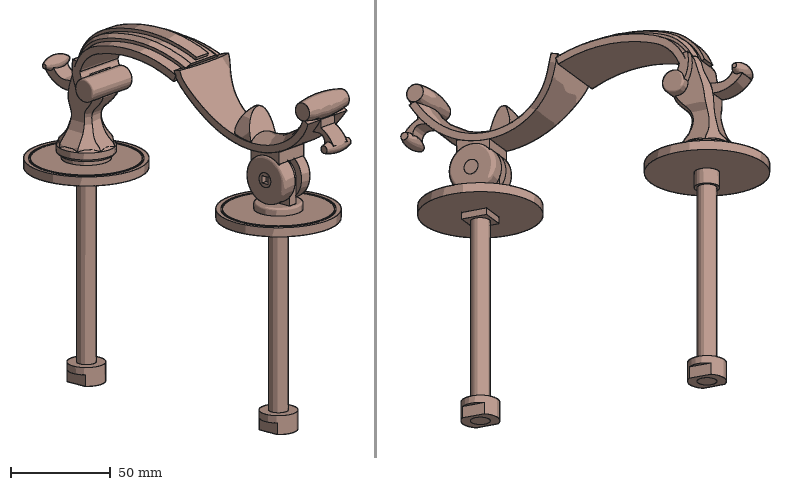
import cadquery as cq
import math


POST_SPACING = 127.0
ROSE_RADIUS = 31.47
ROSE_THICKNESS = 4.8
ROSE_GROOVE_INNER = 28.1
ROSE_GROOVE_WIDTH = 0.8
ROSE_GROOVE_DEPTH = 0.4

ROD_RADIUS = 5.0
FIXED_ROD_BOTTOM = -112.5
HINGED_ROD_BOTTOM = -111.1
ROD_LENGTH = 112.5

NUT_RADIUS = 9.8
NUT_HEIGHT = 10.0
NUT_FLAT_HEIGHT = 6.1
NUT_FLAT_HALF = 7.7

SPIGOT_RADIUS = 6.4
SPIGOT_BOTTOM = -8.1
TANG_SIDE = 14.0
TANG_BOTTOM = -3.5

HINGE_X = POST_SPACING
HINGE_Z = 22.3
KNUCKLE_RADIUS = 13.1
KNUCKLE_HALF = 10.4
KNUCKLE_ROUND = 2.2
TONGUE_HALF = 2.5
TONGUE_RADIUS = 9.4
POST_FOOT_RADIUS = 12.4
POST_FOOT_TOP = 8.7
POST_FOOT_ROUND = 1.2
NECK_HALF_X = 9.3
NECK_HALF_Y = 9.5
NECK_TOP = 38.5
NECK_SHIFT = -0.7
PIN_RADIUS = 3.9
SOCKET_SIDE = 3.8
SOCKET_DEPTH = 3.0

CREST_X, CREST_Z = 44.0, 81.6
CREST_RADIUS = 84.0
SHOULDER_RADIUS = 30.4
SHOULDER_ANGLE = 108.0
STRAP_START_ANGLE = 163.0
STRAP_END_X = 78.0
RIB_START_ANGLE = 159.0
RIB_END_X = 76.8
RIB_HALF = 4.6
RIB_HEIGHT = 1.7
LEDGE_DROP = 3.6
FLANGE_DROP = 5.2
EDGE_DROP = 6.2
STRAP_DEPTH = 10.2
STRAP_HALF_START = 14.6
STRAP_HALF_GROWTH = 4.3
STRAP_GROWTH_POWER = 0.6
CROWN_SHARE = 0.50
LEDGE_SHARE = 0.67

SADDLE_X, SADDLE_Z = 119.0, 82.0
SADDLE_RADIUS = 42.3
SADDLE_EDGE = 3.9
SADDLE_CROWN = 3.2
SADDLE_STATIONS = [(194, 18.7), (206, 16.8), (217, 14.0), (232, 11.5), (250, 10.0), (270, 9.6),
                   (290, 10.0), (307, 11.2), (320, 12.8), (331, 15.0)]

ROLL_X, ROLL_Z = 156.0, 65.5
ROLL_HALF = 15.3
ROLL_RADIUS = 6.4
ROLL_END_RADIUS = 4.7

BASE_RADIUS = 15.1
BASE_NECK_RADIUS = 12.6
BASE_RIM_BOTTOM = 7.2
BASE_RIM_TOP = 13.4
BASE_ROUND = 1.3
COLUMN_SECTIONS = [
    (11.5, -13.6, 13.6, 13.6, 5.6, 8.0),
    (14.2, -13.2, 13.2, 13.2, 5.4, 7.2),
    (18.0, -9.7, 9.4, 10.2, 4.8, 4.0),
    (23.0, -7.7, 7.5, 7.3, 3.8, 2.8),
    (28.0, -6.4, 6.6, 6.6, 3.5, 2.2),
    (32.0, -6.0, 8.0, 7.8, 3.8, 2.2),
    (36.0, -6.0, 12.0, 9.4, 4.5, 2.4),
    (41.0, -5.8, 15.5, 10.2, 5.2, 2.6),
    (46.0, -4.4, 15.0, 10.4, 6.0, 2.4),
    (52.0, -1.9, 9.6, 10.4, 7.4, 2.0),
    (60.0, 1.6, 8.8, 10.4, 8.4, 1.6),
]

SCROLL_X, SCROLL_Z = 11.6, 46.2
SCROLL_RADIUS = 6.2
SCROLL_HALF = 15.2
SCROLL_ROUND = 1.2

HOOK_HALF = 5.3
BULB_HALF = 9.2
LEFT_BULB_X, LEFT_BULB_Z = -19.9, 51.0
LEFT_BULB_RADIUS = 3.9
LEFT_BULB_END_RADIUS = 1.2
RIGHT_BULB_X, RIGHT_BULB_Z = 165.0, 46.0
RIGHT_BULB_RADIUS = 3.57
RIGHT_BULB_END_RADIUS = 2.0
TAB_HALF = 9.4
TAB_FLOOR = 40.0
TAB_TOP = 56.0


def cylinder_z(x, radius, bottom, top):
    return cq.Workplane("XY").workplane(offset=bottom).center(x, 0).circle(radius).extrude(top - bottom)


def cylinder_y(x, z, radius, half):
    return cq.Workplane("XZ").center(x, z).circle(radius).extrude(half, both=True)


def barrel_y(x, z, radius, end_radius, half):
    """A barrel lying along Y, bulging from end_radius to radius."""
    return (
        cq.Workplane("XY")
        .moveTo(0, -half)
        .lineTo(end_radius, -half)
        .threePointArc((radius, 0), (end_radius, half))
        .lineTo(0, half)
        .close()
        .revolve(360, (0, 0), (0, 1))
        .translate((x, 0, z))
    )


def rose(x, hole):
    groove_bottom = ROSE_THICKNESS - ROSE_GROOVE_DEPTH
    groove = cylinder_z(x, ROSE_GROOVE_INNER + ROSE_GROOVE_WIDTH, groove_bottom, ROSE_THICKNESS)
    groove = groove.cut(cylinder_z(x, ROSE_GROOVE_INNER, 0, ROSE_THICKNESS))
    return cylinder_z(x, ROSE_RADIUS, 0, ROSE_THICKNESS).cut(groove).cut(hole)


def rod(x, bottom):
    return cylinder_z(x, ROD_RADIUS, bottom, bottom + ROD_LENGTH)


def nut(x, bottom):
    body = cylinder_z(x, NUT_RADIUS, bottom, bottom + NUT_HEIGHT)
    between_flats = cq.Workplane("XY").box(
        2 * NUT_RADIUS, 2 * NUT_FLAT_HALF, NUT_FLAT_HEIGHT, centered=(True, True, False)
    ).translate((x, 0, bottom))
    upper = cylinder_z(x, NUT_RADIUS, bottom + NUT_FLAT_HEIGHT, bottom + NUT_HEIGHT)
    return body.intersect(between_flats.union(upper)).cut(rod(x, bottom))


def square_tang():
    height = POST_FOOT_TOP - TANG_BOTTOM
    return cq.Workplane("XY").box(TANG_SIDE, TANG_SIDE, height, centered=(True, True, False)).translate(
        (HINGE_X, 0, TANG_BOTTOM)
    )


def hinge_pin():
    pin = cylinder_y(HINGE_X, HINGE_Z, PIN_RADIUS, KNUCKLE_HALF)
    end_face = pin.faces("<Y").workplane(centerOption="CenterOfMass")
    return end_face.rect(SOCKET_SIDE, SOCKET_SIDE).cutBlind(-SOCKET_DEPTH)


def hinge_post():
    foot = cylinder_z(HINGE_X, POST_FOOT_RADIUS, ROSE_THICKNESS, POST_FOOT_TOP)
    foot = foot.faces(">Z").edges().fillet(POST_FOOT_ROUND)
    stem_height = HINGE_Z - POST_FOOT_TOP
    stem = cq.Workplane("XY").box(
        2 * TONGUE_RADIUS, 2 * TONGUE_HALF, stem_height, centered=(True, True, False)
    ).translate((HINGE_X, 0, POST_FOOT_TOP))
    tongue = stem.union(cylinder_y(HINGE_X, HINGE_Z, TONGUE_RADIUS, TONGUE_HALF))
    post = foot.union(square_tang()).union(tongue)
    post = post.cut(cylinder_y(HINGE_X, HINGE_Z, PIN_RADIUS, KNUCKLE_HALF))
    return post.cut(rod(HINGE_X, HINGED_ROD_BOTTOM))


def arc_point(center, radius, angle):
    turn = math.radians(angle)
    return center[0] + radius * math.cos(turn), center[1] + radius * math.sin(turn)


CREST_CENTER = (CREST_X, CREST_Z - CREST_RADIUS)
SHOULDER_CENTER = arc_point(CREST_CENTER, CREST_RADIUS - SHOULDER_RADIUS, SHOULDER_ANGLE)


def crest_angle(x):
    return math.degrees(math.acos((x - CREST_X) / CREST_RADIUS))


def section_plane(center, radius, angle, outward):
    """Plane across an arc: local x is Y, local y points away from the arc centre (outward = 1) or to it."""
    x, z = arc_point(center, radius, angle)
    turn = math.radians(angle)
    tangent = (outward * math.sin(turn), 0, -outward * math.cos(turn))
    return cq.Plane(origin=(x, 0, z), xDir=(0, 1, 0), normal=tangent)


def strap_stations(start_angle, end_x):
    shoulder_steps = 5
    crest_steps = 5
    stations = []
    for i in range(shoulder_steps):
        angle = start_angle + (SHOULDER_ANGLE - start_angle) * i / shoulder_steps
        stations.append((SHOULDER_CENTER, SHOULDER_RADIUS, angle))
    end_angle = crest_angle(end_x)
    for i in range(crest_steps + 1):
        angle = SHOULDER_ANGLE + (end_angle - SHOULDER_ANGLE) * i / crest_steps
        stations.append((CREST_CENTER, CREST_RADIUS, angle))
    return stations


def loft(wires):
    return cq.Workplane(cq.Solid.makeLoft(wires))


def strap_half_width(x):
    return STRAP_HALF_START + STRAP_HALF_GROWTH * (max(x, 0) / STRAP_END_X) ** STRAP_GROWTH_POWER


def strap():
    wires = []
    for center, radius, angle in strap_stations(STRAP_START_ANGLE, STRAP_END_X):
        half = strap_half_width(arc_point(center, radius, angle)[0])
        right = [
            (CROWN_SHARE * half, -RIB_HEIGHT),
            (LEDGE_SHARE * half, -LEDGE_DROP),
            (LEDGE_SHARE * half, -FLANGE_DROP),
            (half, -EDGE_DROP),
            (half, -STRAP_DEPTH),
        ]
        left = [(-y, z) for y, z in reversed(right)]
        plane = section_plane(center, radius, angle, 1)
        wires.append(cq.Workplane(plane).polyline(right + left).close().val())
    return loft(wires)


def rib():
    wires = []
    for center, radius, angle in strap_stations(RIB_START_ANGLE, RIB_END_X):
        plane = section_plane(center, radius, angle, 1)
        section = cq.Workplane(plane).center(0, -STRAP_DEPTH / 4).rect(2 * RIB_HALF, STRAP_DEPTH / 2)
        wires.append(section.val())
    return loft(wires)


def saddle():
    wires = []
    for angle, half in SADDLE_STATIONS:
        plane = section_plane((SADDLE_X, SADDLE_Z), SADDLE_RADIUS, angle, -1)
        section = (
            cq.Workplane(plane)
            .moveTo(-half, -SADDLE_EDGE)
            .lineTo(half, -SADDLE_EDGE)
            .lineTo(half, 0)
            .threePointArc((0, SADDLE_CROWN), (-half, 0))
            .close()
        )
        wires.append(section.val())
    return loft(wires)


def column():
    wires = []
    for z, back, front, half, facet, depth in COLUMN_SECTIONS:
        outline = [
            (back, -facet), (back + depth, -half), (front - depth, -half), (front, -facet),
            (front, facet), (front - depth, half), (back + depth, half), (back, facet),
        ]
        wires.append(cq.Workplane("XY").workplane(offset=z).polyline(outline).close().val())
    base = cylinder_z(0, BASE_RADIUS, BASE_RIM_BOTTOM, BASE_RIM_TOP).edges().chamfer(BASE_ROUND)
    neck = cylinder_z(0, BASE_NECK_RADIUS, ROSE_THICKNESS, BASE_RIM_BOTTOM)
    spigot = cylinder_z(0, SPIGOT_RADIUS, SPIGOT_BOTTOM, BASE_RIM_BOTTOM)
    return loft(wires).union(base).union(neck).union(spigot)


def scroll():
    roll = cylinder_y(SCROLL_X, SCROLL_Z, SCROLL_RADIUS, SCROLL_HALF).edges().fillet(SCROLL_ROUND)
    tail = (
        cq.Workplane("XZ")
        .moveTo(3.6, 61)
        .threePointArc((4.2, 49.5), (9.5, 41))
        .lineTo(SCROLL_X, SCROLL_Z)
        .lineTo(9.3, 52)
        .threePointArc((8.4, 55.5), (9.6, 60))
        .close()
        .extrude(STRAP_HALF_START, both=True)
    )
    return roll.union(tail)


def left_hook():
    arm = (
        cq.Workplane("XZ")
        .moveTo(-3, 45.6)
        .lineTo(-9, 45.2)
        .threePointArc((-13.5, 46.2), (-17, 50))
        .lineTo(-22.5, 48)
        .threePointArc((-17, 42.8), (-9, 40))
        .lineTo(-3, 40)
        .close()
        .extrude(HOOK_HALF, both=True)
    )
    bulb = barrel_y(LEFT_BULB_X, LEFT_BULB_Z, LEFT_BULB_RADIUS, LEFT_BULB_END_RADIUS, BULB_HALF)
    return arm.union(bulb)


def right_hook():
    arm = (
        cq.Workplane("XZ")
        .moveTo(159.5, 60)
        .lineTo(159.5, 55.5)
        .threePointArc((164, 52.5), (168, 47.5))
        .lineTo(162, 47)
        .threePointArc((161.4, 50.5), (158.5, 52.5))
        .lineTo(154, 52.3)
        .close()
        .extrude(HOOK_HALF, both=True)
    )
    bulb = barrel_y(RIGHT_BULB_X, RIGHT_BULB_Z, RIGHT_BULB_RADIUS, RIGHT_BULB_END_RADIUS, BULB_HALF)
    return arm.union(bulb)


def thumb_tab():
    side = (
        cq.Workplane("XZ")
        .moveTo(106, TAB_FLOOR)
        .lineTo(106, 44.5)
        .threePointArc((108.5, 51), (112.2, TAB_TOP))
        .lineTo(113.4, TAB_TOP)
        .threePointArc((114.5, 50), (117, TAB_FLOOR))
        .close()
        .extrude(TAB_HALF, both=True)
    )
    face = (
        cq.Workplane("YZ")
        .center(0, TAB_FLOOR)
        .ellipse(TAB_HALF, TAB_TOP - TAB_FLOOR)
        .extrude(POST_SPACING)
    )
    return side.intersect(face)


def knuckle():
    barrel = cylinder_y(HINGE_X, HINGE_Z, KNUCKLE_RADIUS, KNUCKLE_HALF).edges().fillet(KNUCKLE_ROUND)
    neck = cq.Workplane("XY").box(
        2 * NECK_HALF_X, 2 * NECK_HALF_Y, NECK_TOP - HINGE_Z, centered=(True, True, False)
    ).translate((HINGE_X + NECK_SHIFT, 0, HINGE_Z))
    return barrel.union(neck)


def handle():
    end_roll = barrel_y(ROLL_X, ROLL_Z, ROLL_RADIUS, ROLL_END_RADIUS, ROLL_HALF)
    pieces = [rib(), saddle(), end_roll, column(), scroll()]
    pieces += [left_hook(), right_hook(), thumb_tab(), knuckle()]
    body = strap()
    for piece in pieces:
        body = body.union(piece)
    body = body.cut(cylinder_y(HINGE_X, HINGE_Z, KNUCKLE_RADIUS, TONGUE_HALF))
    body = body.cut(cylinder_y(HINGE_X, HINGE_Z, PIN_RADIUS, KNUCKLE_HALF))
    return body.cut(rod(0, FIXED_ROD_BOTTOM))


handle_body = handle()
fixed_rose = rose(0, cylinder_z(0, SPIGOT_RADIUS, 0, ROSE_THICKNESS))
hinged_rose = rose(HINGE_X, square_tang())
rods = [rod(0, FIXED_ROD_BOTTOM), rod(HINGE_X, HINGED_ROD_BOTTOM)]
nuts = [nut(0, FIXED_ROD_BOTTOM), nut(HINGE_X, HINGED_ROD_BOTTOM)]
bodies = [handle_body, fixed_rose, hinged_rose, hinge_post(), hinge_pin()] + rods + nuts
result = cq.Compound.makeCompound([body.val() for body in bodies])